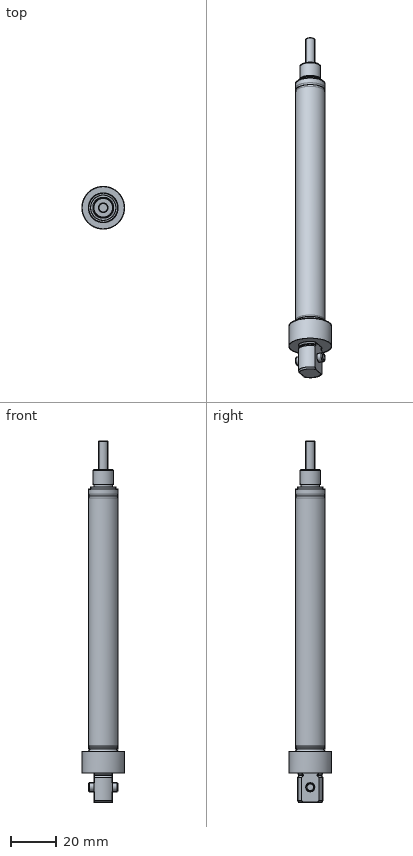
import cadquery as cq

total_height = 159.0
flange_bottom = 12.9
flange_top = 22.4
tube_bottom = 23.5
tube_top = 137.9
cap_top = 138.8
collar_bottom = 139.9
collar_top = 146.5

flange_radius = 9.4
tube_radius = 6.5
tube_neck_radius = 5.9
cap_radius = 5.5
collar_radius = 4.6
collar_chamfer = 0.5
collar_neck_radius = collar_radius - collar_chamfer

crimp_depth = 0.2
lower_crimp_center = 24.5
lower_crimp_width = 1.3
upper_crimp_center = 134.8
upper_crimp_width = 1.7

tang_radius = 5.5
tang_thickness = 8.1
tang_chamfer_width = 0.5
tang_chamfer_height = 0.8
relief_radius = 5.1
relief_bottom = 11.0
relief_cone_height = 0.8

rod_radius = 2.0
rod_chamfer = 0.2
pin_diameter = 4.0
pin_radius = pin_diameter / 2
pin_length = 2 * tube_radius
pin_height = 6.7
pin_chamfer = 0.5


def crimp_points(center, width):
    """Three profile points of a V-shaped crimp, from bottom to top."""
    return [
        (tube_radius, center - width / 2),
        (tube_radius - crimp_depth, center),
        (tube_radius, center + width / 2),
    ]


def make_housing():
    """Turned tang, flange, tube and collar, with tang flats and a pin hole."""
    profile = [
        (0, 0),
        (tang_radius - tang_chamfer_width, 0),
        (tang_radius, tang_chamfer_height),
        (tang_radius, relief_bottom),
        (relief_radius, relief_bottom + relief_cone_height),
        (relief_radius, flange_bottom - relief_cone_height),
        (tang_radius, flange_bottom),
        (flange_radius, flange_bottom),
        (flange_radius, flange_top),
        (tube_radius, flange_top),
        (tube_neck_radius, tube_bottom),
        (tube_radius, tube_bottom),
        *crimp_points(lower_crimp_center, lower_crimp_width),
        *crimp_points(upper_crimp_center, upper_crimp_width),
        (tube_radius, tube_top),
        (cap_radius, tube_top),
        (cap_radius, cap_top),
        (collar_neck_radius, cap_top),
        (collar_neck_radius, collar_bottom),
        (collar_radius, collar_bottom),
        (collar_radius, collar_top - collar_chamfer),
        (collar_radius - collar_chamfer, collar_top),
        (0, collar_top),
    ]
    turned = cq.Workplane("XZ").polyline(profile).close().revolve(360, (0, 0), (0, 1))

    for side in (-1, 1):
        flat_cutter = (
            cq.Workplane("XY")
            .center(side * (tang_thickness / 2 + tang_radius), 0)
            .rect(2 * tang_radius, 4 * tang_radius)
            .extrude(flange_bottom)
        )
        turned = turned.cut(flat_cutter)

    pin_hole = (
        cq.Workplane("YZ")
        .center(0, pin_height)
        .circle(pin_radius)
        .extrude(tang_radius, both=True)
    )
    return turned.cut(pin_hole)


def make_rod():
    """Piston rod standing on the collar, with a chamfered free end."""
    rod = cq.Workplane("XY").workplane(offset=collar_top).circle(rod_radius)
    return rod.extrude(total_height - collar_top).faces(">Z").chamfer(rod_chamfer)


def make_pin():
    """Cross pin through the tang, with both ends chamfered."""
    pin = cq.Workplane("YZ").center(0, pin_height).circle(pin_radius)
    return pin.extrude(pin_length / 2, both=True).faces("<X or >X").chamfer(pin_chamfer)


housing = make_housing()
rod = make_rod()
pin = make_pin()

result = cq.Compound.makeCompound([housing.val(), rod.val(), pin.val()])